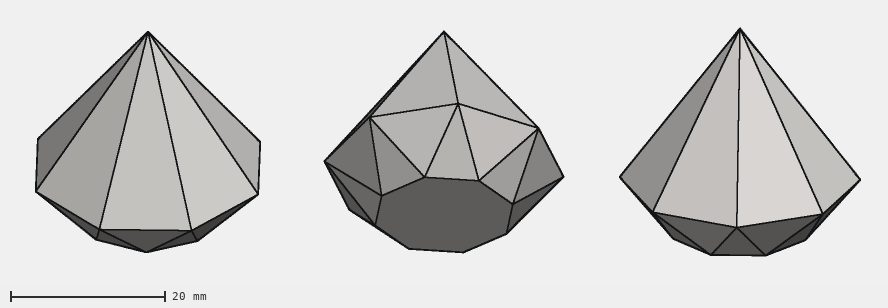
import cadquery as cq
import math

SIDES = 8
WIDTH_ACROSS_FLATS = 28.85
HEIGHT = 28.4
GIRDLE_HEIGHT = HEIGHT / 4
BASE_RADIUS = 9.25

STEP_ANGLE = 2 * math.pi / SIDES
GIRDLE_RADIUS = WIDTH_ACROSS_FLATS / 2 / math.cos(STEP_ANGLE / 2)


def ring(radius, start_angle, z):
    """Corners of a regular polygon, counter-clockwise from start_angle."""
    angles = [start_angle + i * STEP_ANGLE for i in range(SIDES)]
    return [cq.Vector(radius * math.cos(a), radius * math.sin(a), z) for a in angles]


def flat_face(*corners):
    """Planar face bounded by straight edges between the corners."""
    return cq.Face.makeFromWires(cq.Wire.makePolygon(corners, close=True))


base = ring(BASE_RADIUS, 0, 0)
girdle = ring(GIRDLE_RADIUS, STEP_ANGLE / 2, GIRDLE_HEIGHT)
apex = cq.Vector(0, 0, HEIGHT)

faces = [flat_face(*base)]
for i in range(SIDES):
    following = (i + 1) % SIDES
    faces.append(flat_face(girdle[i], girdle[following], apex))
    faces.append(flat_face(base[i], base[following], girdle[i]))
    faces.append(flat_face(girdle[i], base[following], girdle[following]))

result = cq.Workplane(obj=cq.Solid.makeSolid(cq.Shell.makeShell(faces)))